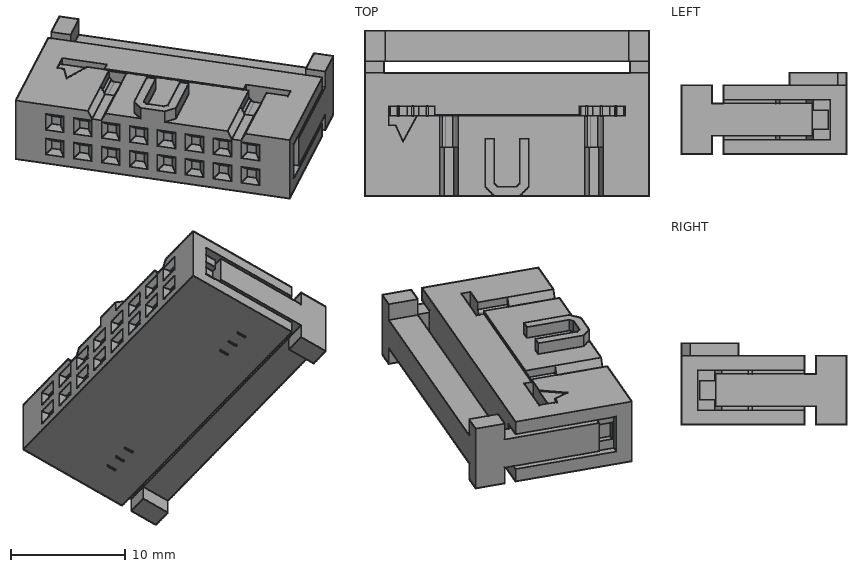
import cadquery as cq


LENGTH = 24.9
TOTAL_DEPTH = 14.5
HEIGHT = 6.05
HOUSING_DEPTH = 10.8
HALF_LENGTH = LENGTH / 2
MID_Z = HEIGHT / 2

PIN_PITCH = 2.54
PIN_COLUMNS = 8
PIN_ROWS = 2
OPENING_WIDTH = 1.66
OPENING_FLOOR_WIDTH = 0.8
OPENING_DEPTH = 0.45

CAP_DEPTH = 2.7
CAP_WIDTH = 1.77
ARM_WIDTH = 1.68
ARM_HEIGHT = 2.85
ARM_TIP_Y = 3.03

POCKET_HEIGHT = 3.53
POCKET_FRONT_Y = 1.43
POCKET_ENTRY_DEPTH = 0.68
POCKET_REAR_DEPTH = 1.9
FRONT_RAMP_START_Y = 2.95
FRONT_RAMP_END_Y = 3.53
REAR_RAMP_START_Y = 5.87
REAR_RAMP_END_Y = 6.22
WINDOW_FRONT_Y = 1.6
WINDOW_HEIGHT = 1.68
WINDOW_FLOOR_DEPTH = 1.2

KEY_HEIGHT = 1.1
KEY_WIDTH = 3.8
KEY_LENGTH = 5.02
KEY_WALL = 0.8
KEY_OUTER_CHAMFER = 0.8
KEY_INNER_CHAMFER = 0.3

SLOT_FRONT_Y = 7.03
SLOT_BACK_Y = 7.88
SLOT_INNER_X = 6.33
SLOT_OUTER_X = 10.37
SLOT_FLOOR_Z = 3.0
SLOT_STEP_DEPTH = 0.3
SLOT_LEDGE_WIDTH = 0.12
SLOT_LEDGE_HEIGHT = 0.3
CABLE_PITCH = PIN_PITCH / 2
SLIT_WIDTH = 0.14
SLIT_OFFSETS = [5.5, 6.5, 7.5]
LEFT_STEP_X = (-8.75, -7.75)
LEFT_FLOOR_X = (-SLOT_OUTER_X + SLOT_LEDGE_WIDTH, -SLOT_INNER_X)
RIGHT_STEP_X = (7.5, 9.0)
RIGHT_FLOOR_X = (SLOT_INNER_X + SLOT_LEDGE_WIDTH, SLOT_OUTER_X - SLOT_LEDGE_WIDTH)

CHANNEL_CENTERS = [-2 * PIN_PITCH, 3 * PIN_PITCH]
CHANNEL_TOP_WIDTH = 1.6
CHANNEL_FLOOR_WIDTH = 0.84
CHANNEL_DEPTH = 0.77
CHANNEL_STEP_Y = 4.27
RELIEF_WALL_DEPTH = 0.73
RELIEF_SHOULDER_WIDTH = 1.2
RELIEF_SHOULDER_DEPTH = 0.95
RELIEF_FLOOR_WIDTH = 0.68
RELIEF_DEPTH = 1.13

MARK_DEPTH = 0.1
GROOVE_WIDTH = 0.1
MARK_TIP = (-9.11, 4.78)
MARK_RIGHT_X = -7.9
MARK_NOTCH_X = -9.75
MARK_NOTCH_Y = 6.2


def box(x_range, y_range, z_range):
    """Box spanning the given coordinate ranges."""
    size = [high - low for low, high in (x_range, y_range, z_range)]
    corner = (x_range[0], y_range[0], z_range[0])
    return cq.Workplane("XY").box(*size, centered=False).translate(corner)


def centered_span(center, width):
    return (center - width / 2, center + width / 2)


def top_mark(points, depth):
    """Cutter of the given plan outline, sunk into the top face."""
    return cq.Workplane("XY", origin=(0, 0, HEIGHT - depth)).polyline(points).close().extrude(depth)


def both_ends(left):
    return left.union(left.mirror("YZ"))


def housing():
    return box((-HALF_LENGTH, HALF_LENGTH), (0, HOUSING_DEPTH), (0, HEIGHT))


def contact_openings():
    cutters = cq.Workplane("XY")
    for column in range(PIN_COLUMNS):
        x = (column - (PIN_COLUMNS - 1) / 2) * PIN_PITCH
        for row in range(PIN_ROWS):
            z = MID_Z + (row - (PIN_ROWS - 1) / 2) * PIN_PITCH
            opening = (
                cq.Workplane("XZ", origin=(x, 0, z))
                .rect(OPENING_WIDTH, OPENING_WIDTH)
                .workplane(offset=-OPENING_DEPTH)
                .rect(OPENING_FLOOR_WIDTH, OPENING_FLOOR_WIDTH)
                .loft()
            )
            cutters = cutters.add(opening)
    return cutters.combine()


def side_pockets():
    """Both arm pockets, each with a window in its shallow front floor."""
    outside = -HALF_LENGTH
    outline = [
        (outside, POCKET_FRONT_Y),
        (outside + POCKET_ENTRY_DEPTH, POCKET_FRONT_Y),
        (outside + POCKET_ENTRY_DEPTH, FRONT_RAMP_START_Y),
        (outside + ARM_WIDTH, FRONT_RAMP_END_Y),
        (outside + ARM_WIDTH, REAR_RAMP_START_Y),
        (outside + POCKET_REAR_DEPTH, REAR_RAMP_END_Y),
        (outside + POCKET_REAR_DEPTH, HOUSING_DEPTH),
        (outside, HOUSING_DEPTH),
    ]
    bottom = MID_Z - POCKET_HEIGHT / 2
    pocket = cq.Workplane("XY", origin=(0, 0, bottom)).polyline(outline).close().extrude(POCKET_HEIGHT)
    window = box(
        (outside, outside + WINDOW_FLOOR_DEPTH),
        (WINDOW_FRONT_Y, FRONT_RAMP_END_Y),
        centered_span(MID_Z, WINDOW_HEIGHT),
    )
    return both_ends(pocket.union(window))


def strain_relief():
    arm_z = centered_span(MID_Z, ARM_HEIGHT)
    cap_y = (TOTAL_DEPTH - CAP_DEPTH, TOTAL_DEPTH)
    bar = box((-HALF_LENGTH, HALF_LENGTH), cap_y, arm_z)
    arm = box((-HALF_LENGTH, -HALF_LENGTH + ARM_WIDTH), (ARM_TIP_Y, TOTAL_DEPTH), arm_z)
    cap = box((-HALF_LENGTH, -HALF_LENGTH + CAP_WIDTH), cap_y, (0, HEIGHT))
    return bar.union(both_ends(arm.union(cap)))


def polarising_key():
    outer = KEY_WIDTH / 2
    inner = outer - KEY_WALL
    outline = [
        (-outer, KEY_LENGTH),
        (-outer, KEY_OUTER_CHAMFER),
        (-outer + KEY_OUTER_CHAMFER, 0),
        (outer - KEY_OUTER_CHAMFER, 0),
        (outer, KEY_OUTER_CHAMFER),
        (outer, KEY_LENGTH),
        (inner, KEY_LENGTH),
        (inner, KEY_WALL + KEY_INNER_CHAMFER),
        (inner - KEY_INNER_CHAMFER, KEY_WALL),
        (-inner + KEY_INNER_CHAMFER, KEY_WALL),
        (-inner, KEY_WALL + KEY_INNER_CHAMFER),
        (-inner, KEY_LENGTH),
    ]
    return cq.Workplane("XY", origin=(0, 0, HEIGHT)).polyline(outline).close().extrude(KEY_HEIGHT)


def inspection_slot(side, floor_x, step_x):
    """One slot (side -1 left, +1 right) with end ledges, floor, lower step and cable slits."""
    slot_y = (SLOT_FRONT_Y, SLOT_BACK_Y)
    inner_x, outer_x = side * SLOT_INNER_X, side * SLOT_OUTER_X
    slot = box(sorted((inner_x, outer_x)), slot_y, (SLOT_FLOOR_Z + SLOT_LEDGE_HEIGHT, HEIGHT))
    floor = box(floor_x, slot_y, (SLOT_FLOOR_Z, HEIGHT))
    step = box(step_x, slot_y, (SLOT_FLOOR_Z - SLOT_STEP_DEPTH, HEIGHT))
    slot = slot.union(floor).union(step)
    for offset in SLIT_OFFSETS:
        slit_x = centered_span(side * offset * CABLE_PITCH, SLIT_WIDTH)
        slot = slot.union(box(slit_x, slot_y, (0, HEIGHT)))
    return slot


def channel(center):
    """Tapered channel at the mating face, opening into a deeper relief with rounded floor corners."""
    half_top = CHANNEL_TOP_WIDTH / 2
    half_floor = CHANNEL_FLOOR_WIDTH / 2
    half_shoulder = RELIEF_SHOULDER_WIDTH / 2
    half_relief_floor = RELIEF_FLOOR_WIDTH / 2
    corner_end = (-half_shoulder, -RELIEF_SHOULDER_DEPTH)
    taper = (
        cq.Workplane("XZ", origin=(center, 0, HEIGHT))
        .polyline([
            (-half_top, 0),
            (half_top, 0),
            (half_floor, -CHANNEL_DEPTH),
            (-half_floor, -CHANNEL_DEPTH),
        ])
        .close()
        .extrude(-CHANNEL_STEP_Y)
    )
    relief = (
        cq.Workplane("XZ", origin=(center, CHANNEL_STEP_Y, HEIGHT))
        .moveTo(-half_top, 0)
        .lineTo(half_top, 0)
        .lineTo(half_top, -RELIEF_WALL_DEPTH)
        .lineTo(half_shoulder, -RELIEF_SHOULDER_DEPTH)
        .tangentArcPoint((half_relief_floor, -RELIEF_DEPTH), relative=False)
        .lineTo(-half_relief_floor, -RELIEF_DEPTH)
        .tangentArcPoint(corner_end, relative=False)
        .lineTo(-half_top, -RELIEF_WALL_DEPTH)
        .close()
        .extrude(-(SLOT_FRONT_Y - CHANNEL_STEP_Y))
    )
    return taper.union(relief)


def pin_one_mark():
    """Triangle with a square shoulder at the corner of the left slot."""
    return top_mark(
        [
            (-SLOT_OUTER_X, SLOT_FRONT_Y),
            (-SLOT_OUTER_X, MARK_NOTCH_Y),
            (MARK_NOTCH_X, MARK_NOTCH_Y),
            MARK_TIP,
            (MARK_RIGHT_X, SLOT_FRONT_Y),
        ],
        MARK_DEPTH,
    )


def slot_groove():
    """Hairline groove joining the two slots."""
    return box(
        (-SLOT_INNER_X, SLOT_INNER_X),
        (SLOT_FRONT_Y, SLOT_FRONT_Y + GROOVE_WIDTH),
        (HEIGHT - MARK_DEPTH, HEIGHT),
    )


body = housing().cut(side_pockets()).cut(contact_openings())
body = body.cut(inspection_slot(-1, LEFT_FLOOR_X, LEFT_STEP_X))
body = body.cut(inspection_slot(1, RIGHT_FLOOR_X, RIGHT_STEP_X))
for channel_center in CHANNEL_CENTERS:
    body = body.cut(channel(channel_center))
body = body.cut(pin_one_mark()).cut(slot_groove())

result = body.union(polarising_key()).union(strain_relief())